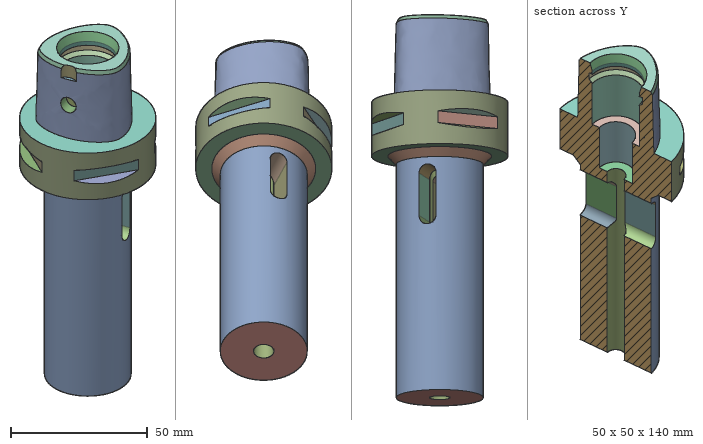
import cadquery as cq
import math

total_length = 140.0
shank_height = 30.0
flange_height = 20.0
flange_top = -shank_height
flange_bottom = flange_top - flange_height

lobe_count = 3
lobe_height = 1.4
shank_base_radius = 17.6
shank_taper = 0.7
shank_chamfer_width = 0.7
shank_chamfer_height = 1.4
profile_points = 48

flange_diameter = 50.0
sleeve_diameter = 31.9
collar_height = 3.1

bore_diameter = 20.9
mouth_diameter = 22.8
mouth_depth = 3.6
groove_diameter = 23.7
groove_start = 5.3
groove_end = 8.3
middle_bore_diameter = 14.5
through_hole_diameter = 7.4

gripper_count = 4
gripper_first_angle = 45
gripper_floor_distance = 21.7
gripper_floor_height = 4.3
gripper_mouth_height = 6.9
gripper_drop = flange_height / 2

notch_radius = 4.5
notch_depth = 5.2
notch_floor_y = -14.1
pin_hole_diameter = 6.3
pin_hole_drop = 16.0
pin_hole_floor_y = -11.2

slot_width = 6.5
slot_length = 22.3
slot_drop = 5.7


def lobed_wire(mean_radius, z):
    """Closed three-lobed curve of constant width at height z."""
    points = []
    for i in range(profile_points):
        angle = 2 * math.pi * i / profile_points
        reach = mean_radius + lobe_height * math.cos(lobe_count * angle)
        shift = -lobe_count * lobe_height * math.sin(lobe_count * angle)
        x = reach * math.sin(angle) + shift * math.cos(angle)
        y = reach * math.cos(angle) - shift * math.sin(angle)
        points.append(cq.Vector(x, y, z))
    return cq.Wire.assembleEdges([cq.Edge.makeSpline(points, periodic=True)])


def lobed_frustum(lower_radius, lower_z, upper_radius, upper_z):
    wires = [lobed_wire(lower_radius, lower_z), lobed_wire(upper_radius, upper_z)]
    return cq.Workplane(cq.Solid.makeLoft(wires, True))


def shank():
    rim_radius = shank_base_radius - shank_taper
    rim_z = -shank_chamfer_height
    body = lobed_frustum(shank_base_radius, flange_top, rim_radius, rim_z)
    chamfer = lobed_frustum(rim_radius, rim_z, rim_radius - shank_chamfer_width, 0)
    return body.union(chamfer)


def flange_and_sleeve():
    flange_radius = flange_diameter / 2
    sleeve_radius = sleeve_diameter / 2
    return (
        cq.Workplane("XZ")
        .moveTo(0, flange_top)
        .lineTo(flange_radius, flange_top)
        .lineTo(flange_radius, flange_bottom)
        .lineTo(sleeve_radius + collar_height, flange_bottom)
        .lineTo(sleeve_radius, flange_bottom - collar_height)
        .lineTo(sleeve_radius, -total_length)
        .lineTo(0, -total_length)
        .close()
        .revolve(360, (0, 0, 0), (0, 1, 0))
    )


def stepped_bore():
    bore_radius = bore_diameter / 2
    groove_radius = groove_diameter / 2
    groove_runout = groove_end + groove_radius - bore_radius
    return (
        cq.Workplane("XZ")
        .lineTo(mouth_diameter / 2, 0)
        .lineTo(bore_radius, -mouth_depth)
        .lineTo(bore_radius, -groove_start)
        .lineTo(groove_radius, -groove_start)
        .lineTo(groove_radius, -groove_end)
        .lineTo(bore_radius, -groove_runout)
        .lineTo(bore_radius, flange_top)
        .lineTo(middle_bore_diameter / 2, flange_top)
        .lineTo(middle_bore_diameter / 2, flange_bottom)
        .lineTo(through_hole_diameter / 2, flange_bottom)
        .lineTo(through_hole_diameter / 2, -total_length)
        .lineTo(0, -total_length)
        .close()
        .revolve(360, (0, 0, 0), (0, 1, 0))
    )


def gripper_groove(angle):
    """Straight groove with sloping sides, its mouth facing the given direction."""
    center_z = flange_top - gripper_drop
    rim = flange_diameter / 2
    floor_half = gripper_floor_height / 2
    mouth_half = gripper_mouth_height / 2
    return (
        cq.Workplane("XZ")
        .moveTo(gripper_floor_distance, center_z - floor_half)
        .lineTo(rim, center_z - mouth_half)
        .lineTo(rim, center_z + mouth_half)
        .lineTo(gripper_floor_distance, center_z + floor_half)
        .close()
        .extrude(rim, both=True)
        .rotate((0, 0, 0), (0, 0, 1), angle)
    )


def orientation_notch():
    return (
        cq.Workplane("XY")
        .center(0, notch_floor_y - notch_radius)
        .circle(notch_radius)
        .extrude(-notch_depth)
    )


def pin_hole():
    return (
        cq.Workplane("XZ", origin=(0, pin_hole_floor_y, 0))
        .center(0, -pin_hole_drop)
        .circle(pin_hole_diameter / 2)
        .extrude(flange_diameter / 2)
    )


def drift_slot():
    center_z = flange_bottom - slot_drop - slot_length / 2
    return (
        cq.Workplane("YZ")
        .center(0, center_z)
        .slot2D(slot_length, slot_width, 90)
        .extrude(sleeve_diameter, both=True)
    )


result = shank().union(flange_and_sleeve()).cut(stepped_bore())
for index in range(gripper_count):
    result = result.cut(gripper_groove(gripper_first_angle + index * 360 / gripper_count))
result = result.cut(orientation_notch()).cut(pin_hole()).cut(drift_slot())